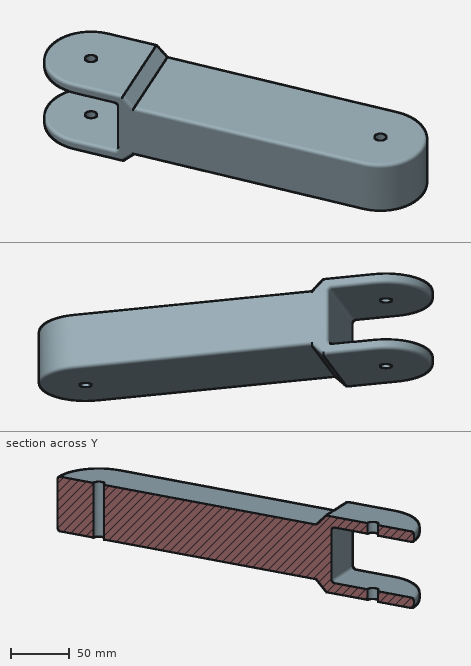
import cadquery as cq

length = 345.0
width = 80.0
fork_height = 70.0
body_height = 50.0
slot_height = 50.0
slot_depth = 79.7
shoulder_start = 85.0
edge_radius = 3.0
hole_diameter = 10.0

end_radius = width / 2
fork_end = -length / 2
slot_floor = fork_end + slot_depth
shoulder_step = (fork_height - body_height) / 2
slope_top = fork_end + shoulder_start
slope_bottom = slope_top + shoulder_step
hole_spacing = length - 2 * end_radius


def side_profile():
    """Fork and arm silhouette in XZ, extruded across the width."""
    outline = [
        (fork_end, fork_height / 2),
        (slope_top, fork_height / 2),
        (slope_bottom, body_height / 2),
        (length / 2, body_height / 2),
        (length / 2, -body_height / 2),
        (slope_bottom, -body_height / 2),
        (slope_top, -fork_height / 2),
        (fork_end, -fork_height / 2),
        (fork_end, -slot_height / 2),
        (slot_floor, -slot_height / 2),
        (slot_floor, slot_height / 2),
        (fork_end, slot_height / 2),
    ]
    return cq.Workplane("XZ").polyline(outline).close().extrude(width / 2, both=True)


def rounded_plan():
    """Plan outline with a full half-round at each end."""
    return cq.Workplane("XY").slot2D(length, width).extrude(fork_height / 2, both=True)


def round_edges(body):
    """Round the rims and all four slot floor edges, leaving the shoulder bends and plan seams sharp."""
    near_slot_floor = cq.selectors.BoxSelector(
        (slot_floor - edge_radius, -width, -fork_height / 2 + edge_radius),
        (slot_floor + edge_radius, width, fork_height / 2 - edge_radius),
    )
    rims = body.edges("not(|Y or |Z)")
    slot_floor_edges = body.edges(near_slot_floor)
    return body.newObject(rims.vals() + slot_floor_edges.vals()).fillet(edge_radius)


def pin_holes():
    """Vertical through holes on the axes of the two round ends."""
    centres = [(-hole_spacing / 2, 0), (hole_spacing / 2, 0)]
    pins = cq.Workplane("XY").pushPoints(centres).circle(hole_diameter / 2)
    return pins.extrude(fork_height / 2, both=True)


result = round_edges(side_profile().intersect(rounded_plan())).cut(pin_holes())